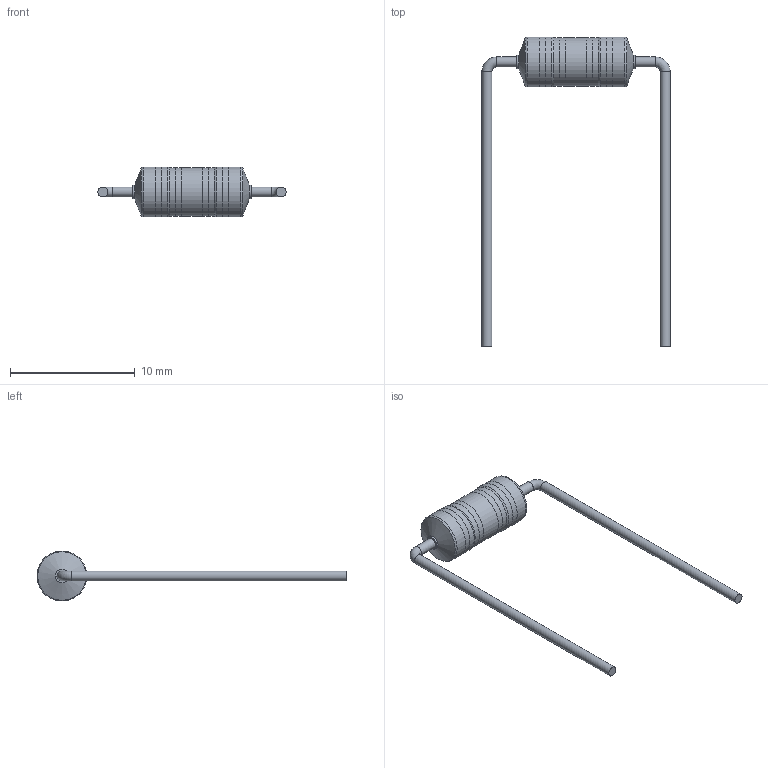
import cadquery as cq


lead_diameter = 0.8
lead_pitch = 14.3
lead_tip_y = -22.85
bend_radius = 0.8

end_radius = 2.0
waist_radius = 1.94
cone_base_radius = 1.94
collar_radius = 0.54

waist_half_length = 1.8
step_length = 0.16
cylinder_end = 3.9
bevel_length = 0.16
cone_end = 4.6
collar_end = 4.76
shoulder_start = waist_half_length + step_length
cone_start = cylinder_end + bevel_length

band_width = 0.48
band_depth = 0.1
waist_band_inner = waist_half_length - 2 * band_width
shoulder_band_inner = shoulder_start + band_width
band_places = [(waist_band_inner, waist_radius), (shoulder_band_inner, end_radius)]


def make_band(side, inner_distance, outer_radius):
    """Ring flush with the housing surface, on the +X (side = 1) or -X (side = -1) half."""
    return (
        cq.Workplane("YZ", origin=(side * inner_distance, 0, 0))
        .circle(outer_radius)
        .circle(outer_radius - band_depth)
        .extrude(side * band_width)
    )


def make_housing(bands):
    """Turned body with thick ends, a slimmer waist and a groove for each band."""
    half_profile = [
        (waist_half_length, waist_radius),
        (shoulder_start, end_radius),
        (cylinder_end, end_radius),
        (cone_start, cone_base_radius),
        (cone_end, collar_radius),
        (collar_end, collar_radius),
        (collar_end, 0),
    ]
    mirrored_profile = [(-x, radius) for x, radius in reversed(half_profile)]
    housing = (
        cq.Workplane("XZ")
        .polyline(mirrored_profile + half_profile)
        .close()
        .revolve(360, (0, 0, 0), (1, 0, 0))
    )
    for band in bands:
        housing = housing.cut(band)
    return housing


def make_lead(side):
    """Round wire that starts on the collar face, bends a quarter turn and runs toward -Y."""
    bend_start_x = lead_pitch / 2 - bend_radius
    path = (
        cq.Workplane("XY")
        .moveTo(side * collar_end, 0)
        .lineTo(side * bend_start_x, 0)
        .tangentArcPoint((side * lead_pitch / 2, -bend_radius), relative=False)
        .lineTo(side * lead_pitch / 2, lead_tip_y)
    )
    return (
        cq.Workplane("YZ", origin=(side * collar_end, 0, 0))
        .circle(lead_diameter / 2)
        .sweep(path)
    )


sides = (-1, 1)
bands = [make_band(side, inner, radius) for side in sides for inner, radius in band_places]
housing = make_housing(bands)
leads = [make_lead(side) for side in sides]

result = cq.Compound.makeCompound([body.val() for body in [housing] + bands + leads])